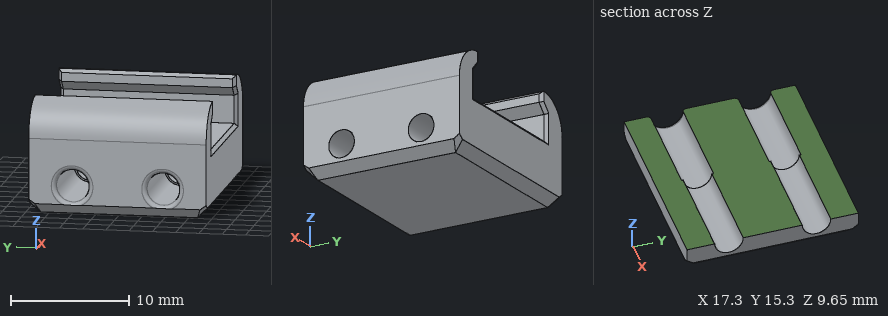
import cadquery as cq
import math

width = 17.3
length = 15.28
height = 9.65
half_width = width / 2
half_length = length / 2
shoulder_radius = 3.13

wall_thickness = 2.56
lip_reach = 3.39
floor_height = 5.35
lip_bottom = 8.6
channel_bevel = 0.3
channel_half_width = half_width - wall_thickness
mouth_half_width = half_width - lip_reach

base_bevel = 0.9
corner_cut_reach = 2 * base_bevel
corner_cut_height = corner_cut_reach / math.sqrt(2)

bore_diameter = 2.8
narrow_diameter = 2.5
rim_diameter = 3.58
rim_radius = (rim_diameter - bore_diameter) / 2
hole_spacing = 7.78
hole_height = 2.49


def make_block():
    """Block with rounded long upper edges and a bevelled underside."""
    block = cq.Workplane("XY").box(width, length, height, centered=(True, True, False))
    block = block.edges("|Y and >Z").fillet(shoulder_radius)
    return block.faces("<Z").edges().chamfer(base_bevel)


def corner_cut(x_side, y_side):
    """Tetrahedron that slices off one bottom corner of the block."""
    x = x_side * half_width
    y = y_side * half_length
    base = [(x, y), (x - x_side * corner_cut_reach, y), (x, y - y_side * corner_cut_reach)]
    apex = cq.Vector(x, y, corner_cut_height)
    points = [cq.Vector(px, py, 0) for px, py in base]
    triangles = [points] + [[points[i], points[(i + 1) % 3], apex] for i in range(3)]
    faces = [cq.Face.makeFromWires(cq.Wire.makePolygon(t, close=True)) for t in triangles]
    return cq.Workplane(obj=cq.Solid.makeSolid(cq.Shell.makeShell(faces)))


def channel_outline(offset=0.0):
    """Channel outline in XZ with its floor, walls and lips moved outwards by offset."""
    slope_rise = offset * (math.sqrt(2) - 1)
    lip_z = lip_bottom + slope_rise
    slope_foot_z = lip_bottom - (lip_reach - wall_thickness) + slope_rise
    right_side = [
        (channel_half_width + offset, floor_height - offset),
        (channel_half_width + offset, slope_foot_z),
        (mouth_half_width + offset, lip_z),
        (mouth_half_width + offset, height),
    ]
    left_side = [(-x, z) for x, z in reversed(right_side)]
    return right_side + left_side


def make_channel():
    """Channel void, flared at both ends and along the upper lip edges."""
    channel = (
        cq.Workplane("XZ", origin=(0, half_length, 0))
        .polyline(channel_outline())
        .close()
        .extrude(length)
    )
    flare = (
        cq.Workplane("XZ", origin=(0, -half_length, 0))
        .polyline(channel_outline(channel_bevel))
        .close()
        .workplane(offset=-channel_bevel)
        .polyline(channel_outline())
        .close()
        .loft(ruled=True)
    )
    mouth = (
        cq.Workplane("XZ", origin=(0, half_length, 0))
        .moveTo(-mouth_half_width, height - channel_bevel)
        .lineTo(mouth_half_width, height - channel_bevel)
        .lineTo(mouth_half_width + channel_bevel, height)
        .lineTo(-mouth_half_width - channel_bevel, height)
        .close()
        .extrude(length)
    )
    return channel.union(flare).union(flare.mirror("XZ")).union(mouth)


def make_hole(y):
    """Stepped cross hole with a rounded rim on the -X side, as a revolved void."""
    return (
        cq.Workplane("XY", origin=(0, y, hole_height))
        .moveTo(-half_width, 0)
        .lineTo(-half_width, rim_diameter / 2)
        .radiusArc((-half_width + rim_radius, bore_diameter / 2), -rim_radius)
        .lineTo(0, bore_diameter / 2)
        .lineTo(0, narrow_diameter / 2)
        .lineTo(half_width, narrow_diameter / 2)
        .lineTo(half_width, 0)
        .close()
        .revolve(360, (0, 0, 0), (1, 0, 0))
    )


result = make_block()
for x_side in (-1, 1):
    for y_side in (-1, 1):
        result = result.cut(corner_cut(x_side, y_side))
result = result.cut(make_channel())
for hole_y in (-hole_spacing / 2, hole_spacing / 2):
    result = result.cut(make_hole(hole_y))